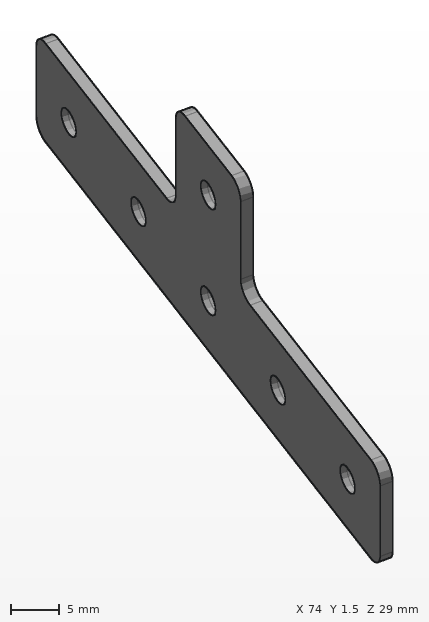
import cadquery as cq

length = 74.0
arm_width = 14.0
thickness = 1.5
hole_diameter = 3.2
corner_radius = 2.0
bar_hole_count = 5

hole_pitch = (length - arm_width) / (bar_hole_count - 1)
height = arm_width + hole_pitch


def plate(width, plate_height):
    """Upright rectangular plate centred on X and Y, standing on Z = 0."""
    return cq.Workplane("XY").box(width, thickness, plate_height, centered=(True, True, False))


bar = plate(length, arm_width)
stem = plate(arm_width, height)
tee = bar.union(stem).clean().edges("|Y").fillet(corner_radius)

bar_hole_z = arm_width / 2
hole_centers = [
    ((i - (bar_hole_count - 1) / 2) * hole_pitch, bar_hole_z)
    for i in range(bar_hole_count)
]
hole_centers.append((0, bar_hole_z + hole_pitch))

holes = (
    cq.Workplane("XZ")
    .pushPoints(hole_centers)
    .circle(hole_diameter / 2)
    .extrude(thickness, both=True)
)

result = tee.cut(holes)